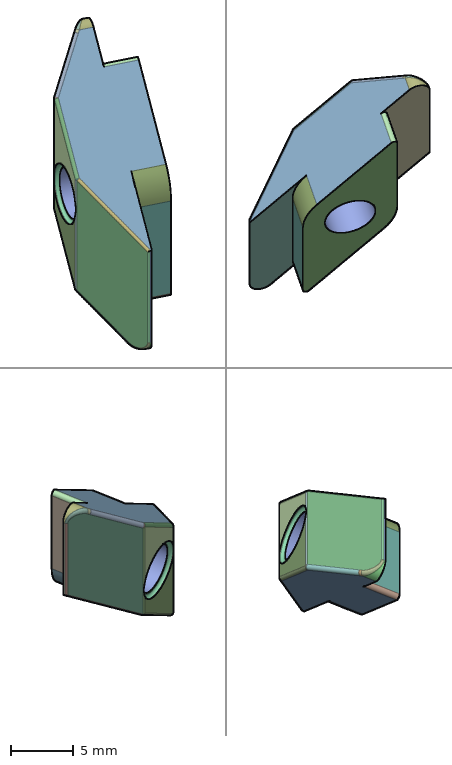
import cadquery as cq
import math

total_length = 23.47
body_width = 15.11
slot_width = 7.93
front_flat_width = 5.02
body_depth = 4.7
rim_depth = 0.28
boss_depth = 3.0
boss_tip_radius = 0.3
edge_radius = 0.28
hole_diameter = 4.25
counterbore_diameter = 5.02
counterbore_depth = 0.38
counterbore_floor_radius = 0.28
position_tolerance = 0.002

half_width = body_width / 2
half_slot = slot_width / 2
side_offset = half_slot * math.sqrt(2)
body_tip_radius = (half_width + side_offset - total_length / 2) / math.sqrt(2)


def slanted_prism(half_x, y_start, y_end):
    """Parallelogram with two vertical and two 45 degree sides, extruded along Y."""
    corners = [
        (-half_x, half_x - side_offset),
        (half_x, -half_x - side_offset),
        (half_x, side_offset - half_x),
        (-half_x, side_offset + half_x),
    ]
    outline = cq.Workplane("XZ", origin=(0, y_start, 0)).polyline(corners).close()
    return outline.extrude(y_start - y_end)


def corner_edges(prism, corner_z):
    """The two Y-parallel edges whose distance from the XY plane is corner_z."""
    return prism.edges("|Y").filter(lambda edge: abs(abs(edge.Center().z) - corner_z) < position_tolerance)


def make_body():
    """Tapered body with rounded tips and softened front edges."""
    prism = slanted_prism(half_width, -body_depth, 0)
    body = corner_edges(prism, half_width + side_offset).fillet(body_tip_radius)
    profile = [
        (-half_width, 0),
        (-half_width, -rim_depth),
        (-front_flat_width / 2, -body_depth),
        (front_flat_width / 2, -body_depth),
        (half_width, -rim_depth),
        (half_width, 0),
    ]
    taper = cq.Workplane("XY").polyline(profile).close().extrude(total_length, both=True)
    body = body.intersect(taper)
    front_edges = body.edges("not(|Y or >Y)")
    return front_edges.fillet(edge_radius)


def make_boss():
    """Rear boss: sharp tips lightly rounded, blunt corners rounded to the slot radius."""
    prism = slanted_prism(half_slot, 0, boss_depth)
    boss = corner_edges(prism, half_slot + side_offset).fillet(boss_tip_radius)
    return corner_edges(boss, side_offset - half_slot).fillet(half_slot)


def make_hole():
    """Through hole along Y with a shallow counterbore, its floor corner rounded."""
    front = cq.Workplane("XZ", origin=(0, -body_depth, 0))
    bore = front.circle(hole_diameter / 2).extrude(-(body_depth + boss_depth))
    counterbore = front.circle(counterbore_diameter / 2).extrude(-counterbore_depth)
    counterbore = counterbore.faces(">Y").edges().fillet(counterbore_floor_radius)
    return bore.union(counterbore)


result = make_body().union(make_boss()).cut(make_hole())